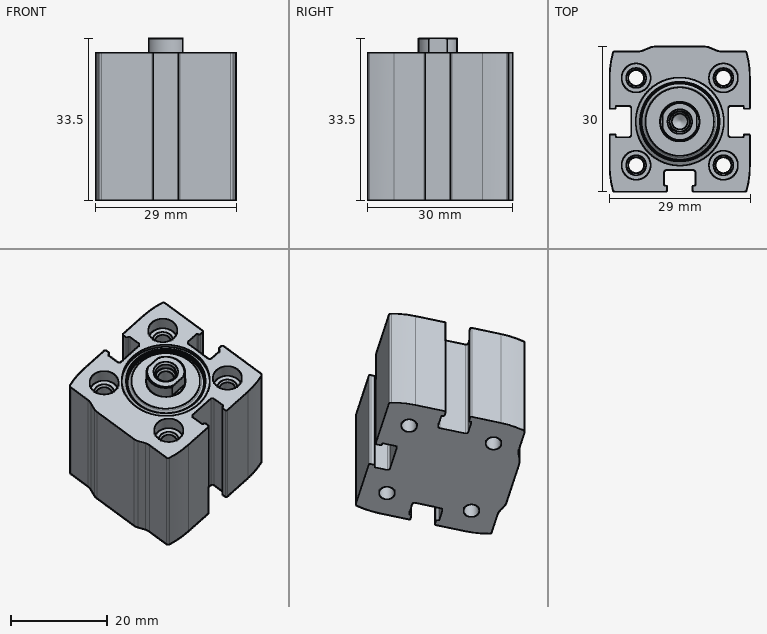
import cadquery as cq
import math

BODY_HALF = 14.5
BODY_HEIGHT = 30.5
TOTAL_HEIGHT = 33.5
EDGE_REACH = 0.005

SIDE_FLAT_HALF = 9.15
CORNER_X = 13.75
CORNER_RADIUS = 0.5
HUMP_HEIGHT = 1.0
HUMP_TOP_HALF = 5.63
HUMP_BASE_HALF = 8.07
HUMP_RADIUS = 2.55

SLOT_FLOOR = 10.0
SLOT_MOUTH_HALF = 2.6
SLOT_CAVITY_HALF = 3.2
SLOT_LIP = 1.3
SLOT_FLOOR_RADIUS = 0.5
SLOT_LIP_RADIUS = 0.3
SLOT_CAVITY_RADIUS = 0.2
SLOT_ANGLES = (0, 90, -90)

MOUNT_OFFSET = 9.0
MOUNT_BORE_DIA = 3.25
MOUNT_CHAMFER_DIA = 4.12
MOUNT_SEAT_DIA = 6.0
MOUNT_SEAT_DEPTH = 3.4
MOUNT_CHAMFER = (MOUNT_CHAMFER_DIA - MOUNT_BORE_DIA) / 2

RECESS_RADIUS = 18.2 / 2
CREST_RADIUS = 8.25
CREST_DEPTH = 0.25
CREST_SLOPE = 32
GAP_OUTER_RADIUS = 16.0 / 2
GAP_DEPTH = 1.0
CAP_RADIUS = 7.87
CAP_SHOULDER_RADIUS = 7.35
CAP_FACE_RADIUS = 7.07
CAP_FACE_DEPTH = 0.2
CAP_SHOULDER_DEPTH = 0.3
CAP_SLOPE = 38
ROD_HOLE_CHAMFER = 0.1
CREST_FALL = (RECESS_RADIUS - CREST_RADIUS) * math.tan(math.radians(CREST_SLOPE))
RECESS_DEPTH = CREST_DEPTH + CREST_FALL
CREST_CHAMFER_DEPTH = CREST_DEPTH + CREST_RADIUS - GAP_OUTER_RADIUS
CAP_FALL = (CAP_RADIUS - CAP_SHOULDER_RADIUS) * math.tan(math.radians(CAP_SLOPE))
CAP_EDGE_DEPTH = CAP_SHOULDER_DEPTH + CAP_FALL

ROD_RADIUS = 8.0 / 2
ROD_BOTTOM = BODY_HEIGHT / 2
ROD_CHAMFER = 0.2
ROD_FLAT_HALF = 3.52
ROD_FLAT_END = BODY_HEIGHT - CAP_FACE_DEPTH
ROD_RUNOUT_DEPTH = 0.3

SOCKET_BORE_RADIUS = 3.25 / 2
SOCKET_CHAMFER_RADIUS = 4.12 / 2
SOCKET_RELIEF_RADIUS = 4.3 / 2
SOCKET_MOUTH_RADIUS = 2.55
SOCKET_RELIEF_DEPTH = 1.65
SOCKET_BORE_DEPTH = 8.05
DRILL_TIP_HALF_ANGLE = 59


def revolve_profile(points):
    """Solid of revolution about Z from (radius, height) points."""
    return cq.Workplane("XZ").polyline(points).close().revolve(360, (0, 0), (0, 1))


def side_arc_middle():
    """Middle point of the arc, tangent to the +X side face, that runs to the back corner."""
    inset = BODY_HALF - CORNER_X
    rise = BODY_HALF - SIDE_FLAT_HALF
    radius = (rise**2 + inset**2) / (2 * inset)
    half_angle = math.asin(rise / radius) / 2
    x = BODY_HALF - radius * (1 - math.cos(half_angle))
    y = SIDE_FLAT_HALF + radius * math.sin(half_angle)
    return x, y


def profile():
    """Extruded outline: tapering curved corners and the raised pad at the back."""
    mid_x, mid_y = side_arc_middle()
    pad_y = BODY_HALF + HUMP_HEIGHT
    body = (
        cq.Workplane("XY")
        .moveTo(-CORNER_X, -BODY_HALF)
        .lineTo(CORNER_X, -BODY_HALF)
        .threePointArc((mid_x, -mid_y), (BODY_HALF, -SIDE_FLAT_HALF))
        .lineTo(BODY_HALF, SIDE_FLAT_HALF)
        .threePointArc((mid_x, mid_y), (CORNER_X, BODY_HALF))
        .lineTo(HUMP_BASE_HALF, BODY_HALF)
        .lineTo(HUMP_TOP_HALF, pad_y)
        .lineTo(-HUMP_TOP_HALF, pad_y)
        .lineTo(-HUMP_BASE_HALF, BODY_HALF)
        .lineTo(-CORNER_X, BODY_HALF)
        .threePointArc((-mid_x, mid_y), (-BODY_HALF, SIDE_FLAT_HALF))
        .lineTo(-BODY_HALF, -SIDE_FLAT_HALF)
        .threePointArc((-mid_x, -mid_y), (-CORNER_X, -BODY_HALF))
        .close()
        .extrude(BODY_HEIGHT)
    )
    for y in (-BODY_HALF, BODY_HALF):
        body = round_edges(body, CORNER_X, y, CORNER_RADIUS)
    body = round_edges(body, HUMP_TOP_HALF, pad_y, HUMP_RADIUS)
    return round_edges(body, HUMP_BASE_HALF, BODY_HALF, HUMP_RADIUS)


def round_edges(body, half_width, y, radius):
    """Fillet the two vertical edges at x = -half_width and x = +half_width, at the given y."""
    for x in (-half_width, half_width):
        edge = cq.selectors.BoxSelector(
            (x - EDGE_REACH, y - EDGE_REACH, 0),
            (x + EDGE_REACH, y + EDGE_REACH, BODY_HEIGHT),
        )
        body = body.edges(edge).fillet(radius)
    return body


def cut_slots(body):
    """Cut the T-slots with rounded cavity corners and rounded lips."""
    lip_y = -BODY_HALF + SLOT_LIP
    cavity = (
        cq.Workplane("XY")
        .rect(2 * SLOT_CAVITY_HALF, lip_y + SLOT_FLOOR)
        .extrude(BODY_HEIGHT)
        .translate((0, (lip_y - SLOT_FLOOR) / 2, 0))
    )
    mouth = (
        cq.Workplane("XY")
        .rect(2 * SLOT_MOUTH_HALF, SLOT_LIP)
        .extrude(BODY_HEIGHT)
        .translate((0, lip_y - SLOT_LIP / 2, 0))
    )
    slot = cavity.union(mouth)
    slot = round_edges(slot, SLOT_CAVITY_HALF, -SLOT_FLOOR, SLOT_FLOOR_RADIUS)
    slot = round_edges(slot, SLOT_CAVITY_HALF, lip_y, SLOT_CAVITY_RADIUS)
    slot = round_edges(slot, SLOT_MOUTH_HALF, lip_y, SLOT_LIP_RADIUS)
    for angle in SLOT_ANGLES:
        turned = slot.rotate((0, 0, 0), (0, 0, 1), angle)
        body = body.cut(turned)
    return round_lips(body)


def round_lips(body):
    """Fillet the outer edges of the lips of every slot."""
    body = round_edges(body, SLOT_MOUTH_HALF, -BODY_HALF, SLOT_LIP_RADIUS)
    for y in (-SLOT_MOUTH_HALF, SLOT_MOUTH_HALF):
        body = round_edges(body, BODY_HALF, y, SLOT_LIP_RADIUS)
    return body


def cut_mounting_holes(body):
    """Counterbored through holes with a chamfered edge at the seat."""
    seat_z = BODY_HEIGHT - MOUNT_SEAT_DEPTH
    hole = revolve_profile([
        (0, 0),
        (MOUNT_BORE_DIA / 2, 0),
        (MOUNT_BORE_DIA / 2, seat_z - MOUNT_CHAMFER),
        (MOUNT_CHAMFER_DIA / 2, seat_z),
        (MOUNT_SEAT_DIA / 2, seat_z),
        (MOUNT_SEAT_DIA / 2, BODY_HEIGHT),
        (0, BODY_HEIGHT),
    ])
    for x in (-MOUNT_OFFSET, MOUNT_OFFSET):
        for y in (-MOUNT_OFFSET, MOUNT_OFFSET):
            body = body.cut(hole.translate((x, y, 0)))
    return body


def cut_recess(body):
    """Round recess that leaves a sloped crest, a narrow gap and the cap; with the rod bore."""
    top = BODY_HEIGHT
    recess = revolve_profile([
        (0, ROD_BOTTOM),
        (ROD_RADIUS, ROD_BOTTOM),
        (ROD_RADIUS, top - CAP_FACE_DEPTH - ROD_HOLE_CHAMFER),
        (ROD_RADIUS + ROD_HOLE_CHAMFER, top - CAP_FACE_DEPTH),
        (CAP_FACE_RADIUS, top - CAP_FACE_DEPTH),
        (CAP_SHOULDER_RADIUS, top - CAP_SHOULDER_DEPTH),
        (CAP_RADIUS, top - CAP_EDGE_DEPTH),
        (CAP_RADIUS, top - GAP_DEPTH),
        (GAP_OUTER_RADIUS, top - GAP_DEPTH),
        (GAP_OUTER_RADIUS, top - CREST_CHAMFER_DEPTH),
        (CREST_RADIUS, top - CREST_DEPTH),
        (RECESS_RADIUS, top - RECESS_DEPTH),
        (RECESS_RADIUS, top),
        (0, top),
    ])
    return body.cut(recess)


def make_housing():
    body = cut_slots(profile())
    body = cut_mounting_holes(body)
    return cut_recess(body)


def flat_cutter():
    """Material removed from the +X side of the rod: a flat with a sloped run-out below it."""
    return (
        cq.Workplane("XZ")
        .moveTo(ROD_FLAT_HALF, TOTAL_HEIGHT)
        .lineTo(ROD_FLAT_HALF, ROD_FLAT_END)
        .lineTo(ROD_RADIUS, ROD_FLAT_END - ROD_RUNOUT_DEPTH)
        .lineTo(ROD_RADIUS, TOTAL_HEIGHT)
        .close()
        .extrude(ROD_RADIUS, both=True)
    )


def rod_socket():
    """Threaded hole with chamfered mouth, relief bore and drill tip."""
    top = TOTAL_HEIGHT
    mouth_depth = SOCKET_MOUTH_RADIUS - SOCKET_RELIEF_RADIUS
    chamfer_end = SOCKET_RELIEF_DEPTH + SOCKET_CHAMFER_RADIUS - SOCKET_BORE_RADIUS
    tip_depth = SOCKET_BORE_RADIUS / math.tan(math.radians(DRILL_TIP_HALF_ANGLE))
    return revolve_profile([
        (0, top),
        (SOCKET_MOUTH_RADIUS, top),
        (SOCKET_RELIEF_RADIUS, top - mouth_depth),
        (SOCKET_RELIEF_RADIUS, top - SOCKET_RELIEF_DEPTH),
        (SOCKET_CHAMFER_RADIUS, top - SOCKET_RELIEF_DEPTH),
        (SOCKET_BORE_RADIUS, top - chamfer_end),
        (SOCKET_BORE_RADIUS, top - SOCKET_BORE_DEPTH),
        (0, top - SOCKET_BORE_DEPTH - tip_depth),
    ])


def make_rod():
    rod = (
        cq.Workplane("XY")
        .workplane(offset=ROD_BOTTOM)
        .circle(ROD_RADIUS)
        .extrude(TOTAL_HEIGHT - ROD_BOTTOM)
        .faces(">Z")
        .chamfer(ROD_CHAMFER)
    )
    flat = flat_cutter()
    rod = rod.cut(flat).cut(flat.mirror("YZ"))
    return rod.cut(rod_socket())


housing = make_housing()
rod = make_rod()
result = cq.Compound.makeCompound([housing.val(), rod.val()])